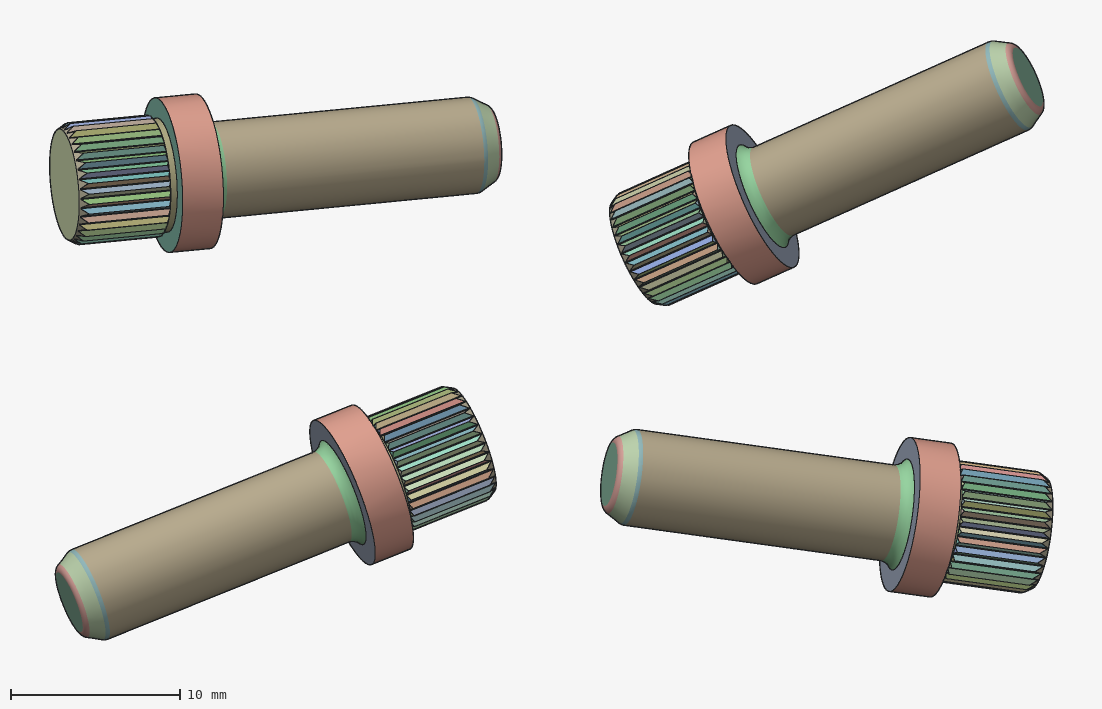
import cadquery as cq
import math

total_length = 26.3
head_length = 6.0
collar_thickness = 2.5
collar_radius = 4.6
shank_radius = 2.87

flare_length = 0.7
flare_radius = 3.31
flare_inset = 0.065

tip_length = 1.18
tip_half_angle = 30.0
tip_round = 0.5

knurl_count = 36
knurl_radius = 3.63
tooth_height = 0.25
tooth_base_width = 2 * tooth_height
core_radius = knurl_radius - tooth_height
head_face_radius = 3.31
neck_radius = 3.4
neck_length = 0.4
chamfer_angle = 30.0
chamfer_slope = math.tan(math.radians(chamfer_angle))
front_chamfer_length = (knurl_radius - head_face_radius) / chamfer_slope
back_chamfer_length = (knurl_radius - neck_radius) * chamfer_slope

front_y = -total_length / 2
tip_y = front_y + total_length
collar_front_y = front_y + head_length
collar_back_y = collar_front_y + collar_thickness
shank_start_y = collar_back_y + flare_length
knurl_back_y = collar_front_y - neck_length
knurl_length = knurl_back_y - front_y


def revolve_about_y(profile):
    """Close a half profile on the axis and turn it around Y."""
    return profile.close().revolve(360, (0, 0, 0), (0, 1, 0))


def make_collar_and_neck():
    """Flat collar with the plain neck that leads into the knurl."""
    return revolve_about_y(
        cq.Workplane("XY")
        .moveTo(0, knurl_back_y)
        .lineTo(neck_radius, knurl_back_y)
        .lineTo(neck_radius, collar_front_y)
        .lineTo(collar_radius, collar_front_y)
        .lineTo(collar_radius, collar_back_y)
        .lineTo(0, collar_back_y)
    )


def make_shank():
    """Plain pin with a concave flare at the collar and a rounded taper at the tip."""
    tip_radius = shank_radius - tip_length * math.tan(math.radians(tip_half_angle))
    flare_middle = (
        (flare_radius + shank_radius) / 2 - flare_inset,
        (collar_back_y + shank_start_y) / 2 - flare_inset,
    )
    shank = revolve_about_y(
        cq.Workplane("XY")
        .moveTo(0, collar_back_y)
        .lineTo(flare_radius, collar_back_y)
        .threePointArc(flare_middle, (shank_radius, shank_start_y))
        .lineTo(shank_radius, tip_y - tip_length)
        .lineTo(tip_radius, tip_y)
        .lineTo(0, tip_y)
    )
    taper_edges = cq.selectors.BoxSelector(
        (-collar_radius, tip_y - 2 * tip_length, -collar_radius),
        (collar_radius, tip_y + tip_length, collar_radius),
    )
    return shank.edges("%CIRCLE").edges(taper_edges).fillet(tip_round)


def point_at(radius, angle):
    """Point on the knurl cross-section in polar form."""
    return (radius * math.cos(angle), radius * math.sin(angle))


def make_knurl():
    """Head with straight V-shaped teeth around a round core, chamfered at both ends."""
    pitch = 2 * math.pi / knurl_count
    half_base = math.asin(tooth_base_width / 2 / core_radius)
    outline = cq.Workplane("XZ", origin=(0, knurl_back_y, 0))
    outline = outline.moveTo(*point_at(core_radius, -half_base))
    for tooth in range(knurl_count):
        angle = tooth * pitch
        outline = (
            outline
            .lineTo(*point_at(knurl_radius, angle))
            .lineTo(*point_at(core_radius, angle + half_base))
            .threePointArc(
                point_at(core_radius, angle + pitch / 2),
                point_at(core_radius, angle + pitch - half_base),
            )
        )
    teeth = outline.close().extrude(knurl_length)
    envelope = revolve_about_y(
        cq.Workplane("XY")
        .moveTo(0, front_y)
        .lineTo(head_face_radius, front_y)
        .lineTo(knurl_radius, front_y + front_chamfer_length)
        .lineTo(knurl_radius, knurl_back_y - back_chamfer_length)
        .lineTo(neck_radius, knurl_back_y)
        .lineTo(0, knurl_back_y)
    )
    return teeth.intersect(envelope)


result = make_collar_and_neck().union(make_shank()).union(make_knurl())